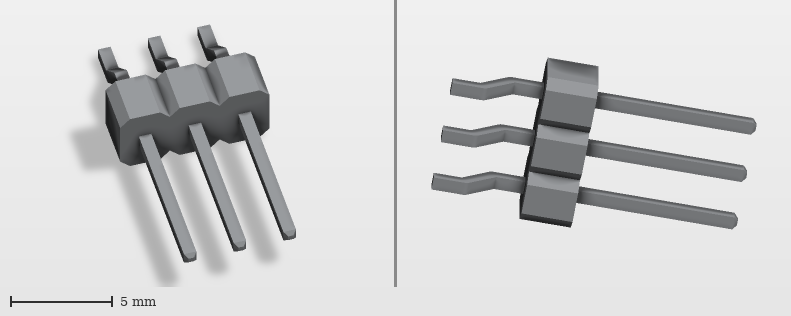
import cadquery as cq
import math

POSITIONS = 3
ROW_WIDTH = 7.63
PITCH = ROW_WIDTH / POSITIONS

HOUSING_LENGTH = PITCH
HOUSING_HEIGHT = 3.55
HOUSING_START_X = 4.57
HOUSING_CHAMFER = 0.5

PIN_LENGTH = 15.19
PIN_SIZE = 0.64
FOOT_LENGTH = 1.4
RISER_ANGLE = 45.0
BEND_RADIUS = 0.3
TIP_LENGTH = 0.2
TIP_INSET = 0.18

SHANK_BOTTOM_Z = (HOUSING_HEIGHT - PIN_SIZE) / 2
SHANK_TOP_Z = SHANK_BOTTOM_Z + PIN_SIZE

RISER_RUN = SHANK_BOTTOM_Z / math.tan(math.radians(RISER_ANGLE))
MITRE_OFFSET = PIN_SIZE * math.tan(math.radians(RISER_ANGLE / 2))
FOOT_TOP_CORNER = (FOOT_LENGTH, PIN_SIZE)
FOOT_BOTTOM_CORNER = (FOOT_LENGTH + MITRE_OFFSET, 0)
SHANK_TOP_CORNER = (FOOT_LENGTH + RISER_RUN, SHANK_TOP_Z)
SHANK_BOTTOM_CORNER = (FOOT_LENGTH + RISER_RUN + MITRE_OFFSET, SHANK_BOTTOM_Z)


def make_housing(center_y):
    """Block with four chamfered long edges and a square hole for the pin."""
    block = (
        cq.Workplane("XY")
        .box(HOUSING_LENGTH, PITCH, HOUSING_HEIGHT, centered=(False, True, False))
        .edges("|X")
        .chamfer(HOUSING_CHAMFER)
    )
    hole = (
        cq.Workplane("XY")
        .box(HOUSING_LENGTH, PIN_SIZE, PIN_SIZE, centered=(False, True, False))
        .translate((0, 0, SHANK_BOTTOM_Z))
    )
    return block.cut(hole).translate((HOUSING_START_X, center_y, 0))


def make_bent_bar():
    """Foot, riser and shank as one bar, ending where the tapered tip starts."""
    shank_end_x = PIN_LENGTH - TIP_LENGTH
    bar = (
        cq.Workplane("XZ")
        .polyline([
            (0, 0),
            FOOT_BOTTOM_CORNER,
            SHANK_BOTTOM_CORNER,
            (shank_end_x, SHANK_BOTTOM_Z),
            (shank_end_x, SHANK_TOP_Z),
            SHANK_TOP_CORNER,
            FOOT_TOP_CORNER,
            (0, PIN_SIZE),
        ])
        .close()
        .extrude(PIN_SIZE / 2, both=True)
    )
    for corner_x, corner_z in (FOOT_BOTTOM_CORNER, SHANK_TOP_CORNER):
        outer_edge = cq.selectors.NearestToPointSelector((corner_x, 0, corner_z))
        bar = bar.edges("|Y").edges(outer_edge).fillet(BEND_RADIUS)
    return bar


def make_pin(center_y):
    """Bent bar with a four-sided tapered tip at its +X end."""
    tip_end_size = PIN_SIZE - 2 * TIP_INSET
    tip = (
        cq.Workplane("YZ", origin=(PIN_LENGTH - TIP_LENGTH, 0, HOUSING_HEIGHT / 2))
        .rect(PIN_SIZE, PIN_SIZE)
        .workplane(offset=TIP_LENGTH)
        .rect(tip_end_size, tip_end_size)
        .loft(ruled=True)
    )
    return make_bent_bar().union(tip).translate((0, center_y, 0))


housings = []
pins = []
for position in range(POSITIONS):
    center_y = (position - (POSITIONS - 1) / 2) * PITCH
    housings.append(make_housing(center_y).val())
    pins.append(make_pin(center_y).val())

result = cq.Compound.makeCompound([*housings, *pins])